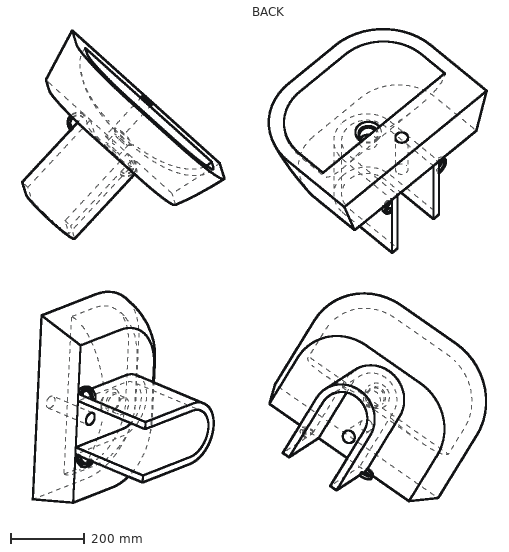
import cadquery as cq
import math


basin_width = 550.0
basin_depth = 400.5
basin_height = 149.5
corner_radius = 183.5
corner_radius_loss = 40.0
side_draft = 40.0
front_draft = 98.5

rim_side = 40.0
rim_front = 41.0
bowl_corner_radius = 147.0
bowl_back = 122.5
bowl_floor = 104.0
floor_half_width = 24.5
floor_corner_radius = 24.0
bowl_section_count = 8

tap_diameter = 35.0
tap_from_wall = 54.0
drain_from_wall = 182.5
drain_diameter = 49.0
drain_seat_diameter = 54.0
drain_mouth_diameter = 71.0
drain_mouth_depth = 7.5
drain_seat_depth = 5.0
drain_clearance = 3.0

pedestal_width = 181.0
pedestal_wall = 21.5
pedestal_height = 252.0
pedestal_straight = 188.0

loop_radius = 27.5
loop_wall = 7.5
loop_length = 10.0
loop_drop = 28.0


def d_outline(half_width, back, front, radius, level):
    """A closed wire with square corners at the back and round corners at the front."""
    diagonal = radius * (1 - math.sqrt(0.5))
    return (
        cq.Workplane("XY", origin=(0, 0, level))
        .moveTo(half_width, -back)
        .lineTo(-half_width, -back)
        .lineTo(-half_width, radius - front)
        .threePointArc((diagonal - half_width, diagonal - front), (radius - half_width, -front))
        .lineTo(half_width - radius, -front)
        .threePointArc((half_width - diagonal, diagonal - front), (half_width, radius - front))
        .close()
        .val()
    )


def make_basin_body():
    sections = []
    for fraction in (0, 0.5, 1):
        inset = side_draft * fraction
        sections.append(
            d_outline(
                basin_width / 2 - inset,
                0,
                basin_depth - front_draft * fraction**2,
                corner_radius - corner_radius_loss * fraction**2,
                -basin_height * fraction,
            )
        )
    return cq.Workplane(cq.Solid.makeLoft(sections))


def make_bowl():
    """The hollow: outlines shrink from the rim to the drain along a quarter ellipse."""
    rim_sizes = (
        basin_width / 2 - rim_side,
        bowl_back,
        basin_depth - rim_front,
        bowl_corner_radius,
    )
    floor_sizes = (
        floor_half_width,
        drain_from_wall - floor_half_width,
        drain_from_wall + floor_half_width,
        floor_corner_radius,
    )
    sections = []
    for i in range(bowl_section_count):
        angle = math.pi / 2 * i / (bowl_section_count - 1)
        spread = math.cos(angle)
        sizes = [low + (high - low) * spread for low, high in zip(floor_sizes, rim_sizes)]
        sections.append(d_outline(*sizes, -bowl_floor * math.sin(angle)))
    return cq.Workplane(cq.Solid.makeLoft(sections))


def make_drain():
    """The drain hole with its two conical steps, as a solid of revolution."""
    seat_level = -bowl_floor - drain_mouth_depth
    hole_level = seat_level - drain_seat_depth
    return (
        cq.Workplane("XZ", origin=(0, -drain_from_wall, 0))
        .moveTo(0, drain_clearance - bowl_floor)
        .lineTo(drain_mouth_diameter / 2, drain_clearance - bowl_floor)
        .lineTo(drain_mouth_diameter / 2, -bowl_floor)
        .lineTo(drain_seat_diameter / 2, seat_level)
        .lineTo(drain_diameter / 2, hole_level)
        .lineTo(drain_diameter / 2, -basin_height)
        .lineTo(0, -basin_height)
        .close()
        .revolve(360, (0, 0), (0, 1))
    )


def make_basin():
    tap_hole = (
        cq.Workplane("XY", origin=(0, -tap_from_wall, 0))
        .circle(tap_diameter / 2)
        .extrude(-basin_height)
    )
    return make_basin_body().cut(make_bowl()).cut(make_drain()).cut(tap_hole)


def u_prism(half_width):
    """A prism from the wall to a half-round front, hanging under the basin."""
    return (
        cq.Workplane("XY", origin=(0, 0, -basin_height))
        .moveTo(half_width, 0)
        .lineTo(half_width, -pedestal_straight)
        .threePointArc((0, -pedestal_straight - half_width), (-half_width, -pedestal_straight))
        .lineTo(-half_width, 0)
        .close()
        .extrude(-pedestal_height)
    )


def make_pedestal():
    return u_prism(pedestal_width / 2).cut(u_prism(pedestal_width / 2 - pedestal_wall))


def make_loop(side):
    """A half ring standing out from one pedestal side: -1 for left, 1 for right."""
    centre_x = side * pedestal_width / 2
    ring = (
        cq.Workplane("XZ", origin=(centre_x, 0, -basin_height - loop_drop))
        .circle(loop_radius)
        .circle(loop_radius - loop_wall)
        .extrude(loop_length)
    )
    outer_half = cq.Workplane("XY").box(2 * loop_radius, 4 * loop_length, 4 * loop_radius)
    return ring.intersect(
        outer_half.translate((centre_x + side * loop_radius, 0, -basin_height - loop_drop))
    )


tilt = cq.Location(
    cq.Plane(
        origin=(0, 0, 0),
        xDir=(math.sqrt(1 / 2), math.sqrt(1 / 6), -math.sqrt(1 / 3)),
        normal=(0, math.sqrt(2 / 3), math.sqrt(1 / 3)),
    )
)

basin = make_basin()
pedestal = make_pedestal()
loops = [make_loop(side) for side in (-1, 1)]

result = cq.Compound.makeCompound(
    [body.solids().val().moved(tilt) for body in (basin, pedestal, *loops)]
)